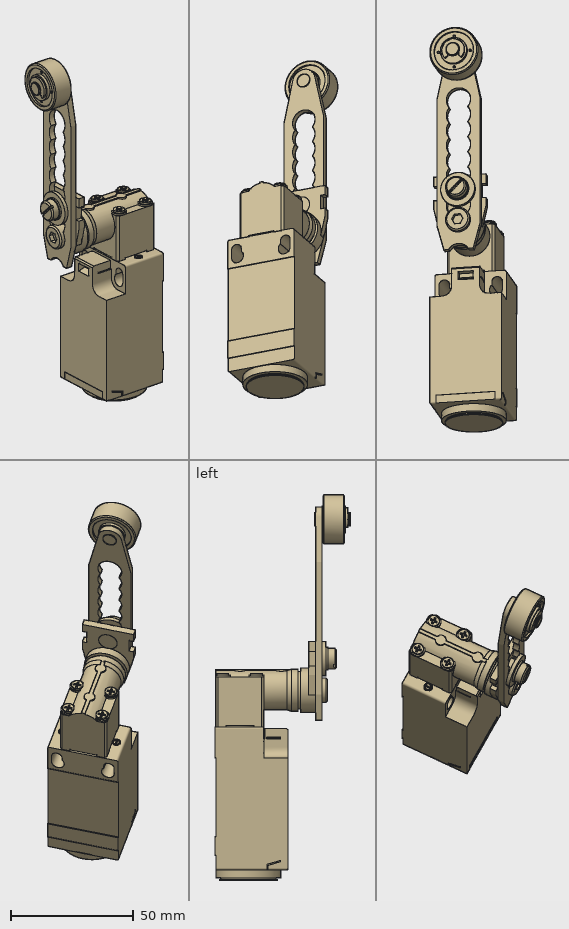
import cadquery as cq
import math


total_height = 157.7
head_front = 20.0
head_middle = 10.3
head_base = 62.8
shaft_height = 77.8
hub_back = 35.0
plate_back = 38.3
arm_back = 41.2
arm_front = 43.8
roller_radius = 10.1
roller_height = total_height - roller_radius

body_width = 30.0
body_front = 30.0
body_base = 4.3
back_relief = 0.5
lower_pad_base = 10.3
lower_pad_top = 18.0
ear_base = 50.2
top_fillet = 1.0
bottom_fillet = 0.8
tab_half_width = 5.8
tab_top = 62.1
tab_chamfer = 0.6
ear_fillet = 4.1
keyhole_outer = 13.2
keyhole_small_radius = 2.2
keyhole_small_height = 58.0
keyhole_large_radius = 2.7
keyhole_large_height = 54.7
latch_half_width = 3.2
latch_base = 56.8
latch_sill = 57.7
latch_top = 60.2
latch_depth = 3.2
latch_back = body_front - latch_depth
slit_thickness = 0.5
slit_height = 58.0
slit_back = 21.1
flap_half_width = 12.3
flap_top = 7.9
flap_recess = 0.2
seam_width = 0.5
seam_depth = 0.5
seam_back = 21.3
seam_front = 26.8
seam_back_top = 6.6
seam_front_top = 8.2
gland_radius = 13.2
gland_depth = back_relief + gland_radius
gland_lip_base = 1.1
gland_rim_top = 0.5
gland_neck_radius = 11.4
gland_rim_radius = 11.8
pivot_radius = 5.7
pivot_height = 0.6
side_hole_offset = 11.4
side_hole_radius = 1.7
side_hole_depth = 0.8
side_screw_radius = 1.3
side_screw_slot = 0.5

head_width = 19.9
head_back = 0.3
head_top = 83.1
head_chamfer = 1.0
barrel_radius = 8.0
barrel_front = 29.5
nose_radius = 8.7
nose_back = 31.4
nose_front = 34.0
neck_radius = 7.7
rib_half_width = 0.8
rib_top = 86.3
rib_pad_radius = 2.2
rib_pad_depths = (head_middle, 27.1)
head_screw_offset = 7.1
head_screw_depths = (3.3, 17.0)
head_flange_radius = 3.0
head_flange_height = 0.8
head_screw_radius = 2.4
head_screw_height = 1.5
cross_length = 2.8
cross_width = 0.6
cross_depth = 0.8

arm_half_width = 9.0
shoulder_height = 130.1
arm_end_radius = 5.0
taper_height = 75.9
arm_base = 65.5
foot_half_width = 6.2
notch_half_width = 4.1
notch_rise = 2.4
slot_radius = 5.0
slot_pitch = 6.5
slot_holes = 9

roller_back = 44.2
roller_front = 53.0
roller_chamfer = 0.5
roller_boss_radius = 5.5
roller_boss_front = 53.5
roller_recess_radius = 8.2
roller_recess_depth = 1.0
dimple_circle_radius = 6.6
dimple_radius = 0.5
dimple_depth = 0.6
dimple_count = 4
stud_radius = 2.4
stud_head_radius = 2.8
stud_back = 40.7
stud_front = 55.5
stud_head_thickness = 0.6
stud_chamfer = 0.3
clip_radius = 4.7
clip_front = 54.4

hub_radius = 9.1
bracket_half_width = 10.9
bracket_top = 97.8
upper_lug_base = 93.7
lower_lug_top = 87.7
lower_lug_base = 83.9
shaft_screw_radius = slot_radius
shaft_screw_front = 46.0
shaft_screw_chamfer = 0.6
hex_across_corners = 4.7
hex_depth = 1.9
clamp_hole = 2
clamp_height = shaft_height + clamp_hole * slot_pitch
clamp_shank_radius = 4.0
washer_radius = 7.1
washer_front = 45.4
collar_radius = 4.7
collar_front = 46.2
clamp_head_radius = 4.3
clamp_head_front = 49.7
clamp_head_chamfer = 0.6
screw_slot_width = 1.0
screw_slot_depth = 1.3
screw_slot_angle = 45


def block(half_width, back, front, base, top):
    """Box centred on X = 0 between two depths and two heights."""
    size = (2 * half_width, front - back, top - base)
    return cq.Workplane("XY").box(*size).translate((0, -(back + front) / 2, (base + top) / 2))


def facing(depth, height=0.0, x=0.0):
    """Workplane that faces forward at the given depth, with its origin on an axis."""
    return cq.Workplane("XZ", origin=(x, -depth, height))


def rod(radius, back, front, height):
    """Cylinder along Y."""
    return facing(back, height).circle(radius).extrude(front - back)


def post(radius, base, top, depth, x=0.0):
    """Cylinder along Z."""
    return cq.Workplane("XY", origin=(x, -depth, base)).circle(radius).extrude(top - base)


def mounting_keyhole(side):
    """Through hole of two overlapping circles joined along a straight slot."""
    small_x = side * (keyhole_outer - keyhole_small_radius)
    large_x = side * (keyhole_outer - keyhole_large_radius)
    small_end = facing(0, keyhole_small_height, small_x).circle(keyhole_small_radius)
    large_end = facing(0, keyhole_large_height, large_x).circle(keyhole_large_radius)
    middle_height = (keyhole_small_height + keyhole_large_height) / 2
    straight = facing(0, middle_height, small_x).rect(
        2 * keyhole_small_radius, keyhole_small_height - keyhole_large_height)
    hole = small_end.extrude(head_front)
    return hole.union(large_end.extrude(head_front)).union(straight.extrude(head_front))


def ear_recess(side):
    """Space in front of one mounting ear, rounded where it meets the tab."""
    width = body_width / 2 - tab_half_width
    height = head_base - ear_base
    recess = cq.Workplane("XY").box(width, body_front - head_front, height).translate((
        side * (tab_half_width + width / 2),
        -(head_front + body_front) / 2,
        ear_base + height / 2,
    ))
    inner_edge = "<X" if side > 0 else ">X"
    return recess.faces(inner_edge).edges("<Z").fillet(ear_fillet)


def latch_pocket():
    """Pocket in the tab front, its floor rising toward the inside."""
    profile = [
        (-body_front, latch_base),
        (-body_front, latch_top),
        (-latch_back, latch_top),
        (-latch_back, latch_sill),
    ]
    outline = cq.Workplane("YZ").polyline(profile).close()
    return outline.extrude(latch_half_width, both=True)


def flank_seam(side):
    """Narrow bent groove in one flank, rising from the bottom edge toward the front."""
    profile = [
        (-seam_back, body_base),
        (-seam_back, seam_back_top),
        (-seam_front, seam_front_top),
        (-seam_front, seam_front_top - seam_width),
        (-seam_back - seam_width, seam_back_top - seam_width),
        (-seam_back - seam_width, body_base),
    ]
    flank = cq.Workplane("YZ", origin=(side * body_width / 2, 0, 0))
    return flank.polyline(profile).close().extrude(-side * seam_depth)


def side_screw(side):
    """Slotted screw on the floor of one side hole, level with the housing top."""
    x = side * side_hole_offset
    screw = post(side_screw_radius, head_base - side_hole_depth, head_base, head_middle, x)
    slot = block(side_screw_slot / 2, 0, head_front, head_base - side_screw_slot, head_base)
    return screw.cut(slot.translate((x, 0, 0)))


def make_housing():
    body = block(body_width / 2, 0, body_front, body_base, head_base)
    body = body.faces("<Z").edges().fillet(bottom_fillet)
    body = body.faces(">Z").edges("|Y").fillet(top_fillet)

    relief_bands = ((body_base, lower_pad_base), (lower_pad_top, ear_base))
    for band_base, band_top in relief_bands:
        body = body.cut(block(body_width / 2, 0, back_relief, band_base, band_top))

    for side in (-1, 1):
        body = body.cut(ear_recess(side))
        body = body.cut(mounting_keyhole(side))
        side_hole = post(side_hole_radius, head_base - side_hole_depth, head_base,
                         head_middle, side * side_hole_offset)
        body = body.cut(side_hole).union(side_screw(side))
        body = body.cut(flank_seam(side))

    body = body.cut(block(tab_half_width, head_front, body_front, tab_top, head_base))
    body = body.edges(cq.selectors.NearestToPointSelector((0, -body_front, tab_top))).chamfer(tab_chamfer)
    body = body.cut(block(tab_half_width, head_front, head_front + slit_thickness, slit_height, tab_top))
    body = body.cut(block(tab_half_width, slit_back, latch_back, slit_height, slit_height + slit_thickness))
    body = body.cut(latch_pocket())

    body = body.cut(block(flap_half_width, body_front - flap_recess, body_front, body_base, flap_top))

    body = body.union(post(gland_radius, gland_lip_base, body_base, gland_depth))
    body = body.union(post(gland_neck_radius, gland_rim_top, gland_lip_base, gland_depth))
    body = body.union(post(gland_rim_radius, 0, gland_rim_top, gland_depth))

    return body.union(post(pivot_radius, head_base, head_base + pivot_height, head_middle))


def head_screw(x, depth):
    """Cross-recessed screw with a round flange, standing on the head block."""
    top = head_top + head_screw_height
    flange = post(head_flange_radius, head_top, head_top + head_flange_height, depth, x)
    screw = flange.union(post(head_screw_radius, head_top, top, depth, x))
    recess_plane = cq.Workplane("XY", origin=(x, -depth, top))
    for size in ((cross_length, cross_width), (cross_width, cross_length)):
        screw = screw.cut(recess_plane.rect(*size).extrude(-cross_depth))
    return screw


def make_head():
    head = block(head_width / 2, head_back, head_front, head_base, head_top)
    head = head.edges("|Z").chamfer(head_chamfer)

    barrel_profile = [
        (0, -head_back),
        (barrel_radius, -head_back),
        (barrel_radius, -barrel_front),
        (nose_radius, -nose_back),
        (nose_radius, -nose_front),
        (neck_radius, -nose_front),
        (neck_radius, -hub_back),
        (0, -hub_back),
    ]
    barrel = cq.Workplane("XY").polyline(barrel_profile).close().revolve(360, (0, 0), (0, 1))
    head = head.union(barrel.translate((0, 0, shaft_height)))

    head = head.union(block(rib_half_width, head_back, nose_back, shaft_height, rib_top))
    for depth in rib_pad_depths:
        head = head.union(post(rib_pad_radius, shaft_height, rib_top, depth))

    for x in (-head_screw_offset, head_screw_offset):
        for depth in head_screw_depths:
            head = head.union(head_screw(x, depth))

    channel_top = head_base + pivot_height
    head = head.cut(block(head_width / 2, head_middle - pivot_radius, head_middle + pivot_radius,
                          head_base, channel_top))
    return head.cut(block(pivot_radius, 0, head_front, head_base, channel_top))


def make_bracket():
    """Shaft hub and clamping plate with the shaft screw, which fills the lowest arm hole."""
    plate_outline = [
        (arm_half_width, taper_height),
        (bracket_half_width, lower_lug_base),
        (bracket_half_width, lower_lug_top),
        (arm_half_width, lower_lug_top),
        (arm_half_width, upper_lug_base),
        (bracket_half_width, upper_lug_base),
        (bracket_half_width, bracket_top),
    ]
    mirrored = [(-x, z) for x, z in reversed(plate_outline)]
    plate = facing(plate_back).polyline(plate_outline + mirrored).close().extrude(arm_back - plate_back)
    bracket = plate.union(rod(hub_radius, hub_back, arm_back, shaft_height))

    screw = rod(shaft_screw_radius, arm_back, shaft_screw_front, shaft_height)
    screw = screw.faces("<Y").edges().chamfer(shaft_screw_chamfer)
    socket = facing(shaft_screw_front, shaft_height).polygon(6, hex_across_corners).extrude(-hex_depth)
    bracket = bracket.union(screw.cut(socket))

    return bracket.cut(rod(clamp_shank_radius, plate_back, arm_back, clamp_height))


def make_clamp_screw():
    """Slotted screw with washer and collar, clamping the arm to the bracket."""
    screw = rod(clamp_shank_radius, plate_back, arm_front, clamp_height)
    screw = screw.union(rod(washer_radius, arm_front, washer_front, clamp_height))
    screw = screw.union(rod(collar_radius, washer_front, collar_front, clamp_height))
    head = rod(clamp_head_radius, collar_front, clamp_head_front, clamp_height)
    head = head.faces("<Y").edges().chamfer(clamp_head_chamfer)
    slot = facing(clamp_head_front, clamp_height).transformed(rotate=(0, 0, screw_slot_angle))
    slot = slot.rect(2 * clamp_head_radius, screw_slot_width).extrude(-screw_slot_depth)
    return screw.union(head.cut(slot))


def arm_blank():
    """Flat lever: rounded at the roller, tapered and notched at the foot."""
    drop = roller_height - shoulder_height
    flank_angle = math.acos(arm_end_radius / math.hypot(arm_half_width, drop))
    tangent_angle = flank_angle - math.atan2(drop, arm_half_width)
    tangent_x = arm_end_radius * math.cos(tangent_angle)
    tangent_z = roller_height + arm_end_radius * math.sin(tangent_angle)
    outline = (
        facing(arm_back)
        .moveTo(notch_half_width, arm_base)
        .lineTo(foot_half_width, arm_base)
        .lineTo(arm_half_width, taper_height)
        .lineTo(arm_half_width, shoulder_height)
        .lineTo(tangent_x, tangent_z)
        .threePointArc((0, roller_height + arm_end_radius), (-tangent_x, tangent_z))
        .lineTo(-arm_half_width, shoulder_height)
        .lineTo(-arm_half_width, taper_height)
        .lineTo(-foot_half_width, arm_base)
        .lineTo(-notch_half_width, arm_base)
        .threePointArc((0, arm_base + notch_rise), (notch_half_width, arm_base))
        .close()
    )
    return outline.extrude(arm_front - arm_back)


def retaining_clip():
    """Flat clip on the stud, open toward the bottom with flared legs."""
    clip = rod(clip_radius, roller_boss_front, clip_front, roller_height)
    opening = [
        (stud_radius, 0),
        (stud_radius, -stud_radius),
        (clip_radius, -clip_radius),
        (-clip_radius, -clip_radius),
        (-stud_radius, -stud_radius),
        (-stud_radius, 0),
    ]
    gap = facing(roller_boss_front, roller_height).polyline(opening).close()
    return clip.cut(gap.extrude(clip_front - roller_boss_front))


def make_arm():
    """Slotted lever with the riveted roller stud and its clip."""
    arm = arm_blank()
    for step in range(slot_holes):
        arm = arm.cut(rod(slot_radius, arm_back, arm_front, shaft_height + step * slot_pitch))

    stud = rod(stud_radius, arm_back, stud_front, roller_height)
    rivet_head = rod(stud_head_radius, stud_back, arm_back, roller_height)
    stud_head = rod(stud_head_radius, stud_front - stud_head_thickness, stud_front, roller_height)
    stud_head = stud_head.faces("<Y").edges().chamfer(stud_chamfer)
    return arm.union(stud).union(rivet_head).union(stud_head).union(retaining_clip())


def make_roller():
    roller = rod(roller_radius, roller_back, roller_front, roller_height)
    roller = roller.edges().chamfer(roller_chamfer)

    front_floor = roller_front - roller_recess_depth
    back_floor = roller_back + roller_recess_depth
    roller = roller.cut(rod(roller_recess_radius, front_floor, roller_front, roller_height))
    roller = roller.cut(rod(roller_recess_radius, roller_back, back_floor, roller_height))
    roller = roller.union(rod(roller_boss_radius, arm_front, roller_boss_front, roller_height))

    dimples = facing(front_floor, roller_height).polarArray(dimple_circle_radius, 0, 360, dimple_count)
    roller = roller.cut(dimples.circle(dimple_radius).extrude(-dimple_depth))
    return roller.cut(rod(stud_radius, arm_front, roller_boss_front, roller_height))


housing = make_housing()
head = make_head()
bracket = make_bracket()
clamp_screw = make_clamp_screw()
arm = make_arm()
roller = make_roller()

result = cq.Compound.makeCompound([
    housing.solids().val(),
    head.solids().val(),
    bracket.solids().val(),
    clamp_screw.solids().val(),
    arm.solids().val(),
    roller.solids().val(),
])